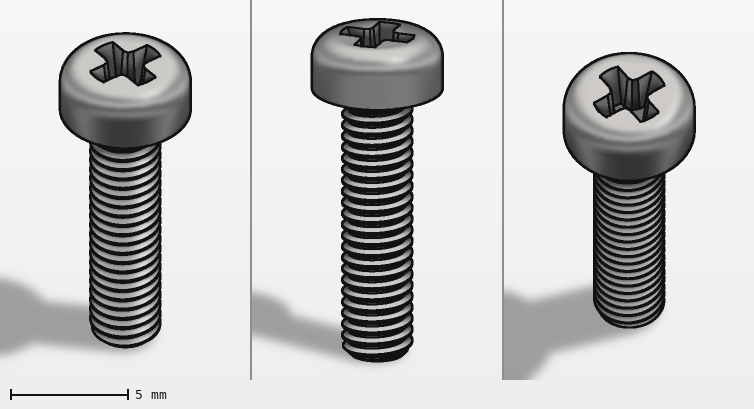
import cadquery as cq
import math

total_length = 14.4
head_diameter = 5.6
head_height = 2.4
head_rounding = 1.02

major_diameter = 3.0
thread_depth = 0.29
flank_angle = 30.0
turns_on_shank = 24
overrun_turns = 3
tip_diameter = 2.23
first_crest_drop = 0.1

recess_depth = 1.8
mouth_span = 3.17
mouth_arm_width = 0.94
floor_span = 2.02
floor_arm_width = 0.55
mouth_corner_length = 0.32
mouth_corner_inset = 0.07
floor_corner_length = 0.46
floor_corner_inset = 0.15

major_radius = major_diameter / 2
root_radius = major_radius - thread_depth
underside_z = total_length - head_height
pitch = underside_z / turns_on_shank
crest_flat = pitch / 8


def make_head():
    return (
        cq.Workplane("XY")
        .workplane(offset=underside_z)
        .circle(head_diameter / 2)
        .extrude(head_height)
        .faces(">Z")
        .edges()
        .fillet(head_rounding)
    )


def make_thread_ridge():
    """Right-handed ridge running past both ends of the shank."""
    overlap = 0.05
    base_radius = root_radius - overlap
    half_crest = crest_flat / 2
    half_base = half_crest + (major_radius - base_radius) * math.tan(math.radians(flank_angle))
    turns = turns_on_shank + overrun_turns
    start_z = underside_z - first_crest_drop - (turns - 1) * pitch

    path = cq.Wire.makeHelix(pitch, turns * pitch, base_radius).translate(cq.Vector(0, 0, start_z))
    profile = (
        cq.Workplane("XZ")
        .moveTo(base_radius, start_z - half_base)
        .lineTo(major_radius, start_z - half_crest)
        .lineTo(major_radius, start_z + half_crest)
        .lineTo(base_radius, start_z + half_base)
        .close()
    )
    return profile.sweep(cq.Workplane(path), isFrenet=True)


def make_shank():
    overrun = overrun_turns * pitch
    core = (
        cq.Workplane("XY")
        .workplane(offset=-overrun)
        .circle(root_radius)
        .extrude(underside_z + 2 * overrun)
    )
    trim_clearance = 0.007
    envelope_radius = major_radius + trim_clearance
    point_height = envelope_radius - tip_diameter / 2
    envelope = (
        cq.Workplane("XY")
        .circle(envelope_radius)
        .extrude(underside_z)
        .faces("<Z")
        .edges()
        .chamfer(point_height)
    )
    return core.union(make_thread_ridge()).intersect(envelope)


def cross_wire(span, arm_width, corner_length, corner_inset, z):
    """Cross outline with arc-shaped arm ends and relieved inner corners."""
    half_width = arm_width / 2
    reach = span / 2
    side_reach = math.sqrt(reach**2 - half_width**2)
    corner_start = half_width + corner_length
    corner_tip = half_width + corner_inset
    edges = []
    for quarter in range(4):
        end_start = cq.Vector(side_reach, -half_width, z)
        end_middle = cq.Vector(reach, 0, z)
        end_stop = cq.Vector(side_reach, half_width, z)
        relief_start = cq.Vector(corner_start, half_width, z)
        relief_tip = cq.Vector(corner_tip, corner_tip, z)
        relief_stop = cq.Vector(half_width, corner_start, z)
        next_arm = cq.Vector(half_width, side_reach, z)
        arm = [
            cq.Edge.makeThreePointArc(end_start, end_middle, end_stop),
            cq.Edge.makeLine(end_stop, relief_start),
            cq.Edge.makeLine(relief_start, relief_tip),
            cq.Edge.makeLine(relief_tip, relief_stop),
            cq.Edge.makeLine(relief_stop, next_arm),
        ]
        edges += [edge.rotate(cq.Vector(), cq.Vector(0, 0, 1), 90 * quarter) for edge in arm]
    return cq.Wire.assembleEdges(edges)


def make_recess():
    floor = cross_wire(
        floor_span, floor_arm_width, floor_corner_length, floor_corner_inset, total_length - recess_depth
    )
    mouth = cross_wire(
        mouth_span, mouth_arm_width, mouth_corner_length, mouth_corner_inset, total_length
    )
    return cq.Workplane(cq.Solid.makeLoft([floor, mouth], True))


result = make_head().union(make_shank()).cut(make_recess())